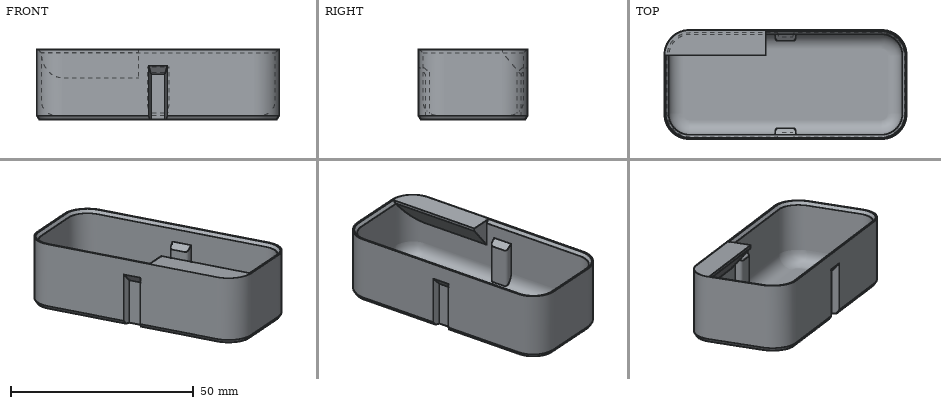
import cadquery as cq
import math

length = 66.5
width = 30.0
height = 19.2
corner_radius = 7.0
wall = 1.2
floor_thickness = 1.2
floor_fillet = 4.0

slope = math.tan(math.radians(50))
base_chamfer_width = 0.7
base_chamfer_height = 1.05
rim_land = 0.4

shelf_length = 27.85
shelf_depth = corner_radius
shelf_edge = 0.8

slot_width = 5.1
slot_back_width = 3.7
slot_depth = 1.85
slot_height = 14.7
rib_width = 6.0
rib_front_width = 5.3
rib_reach = 3.05
rib_wall_height = 14.5
rib_slope = math.tan(math.radians(40))
rib_corner_radius = 0.8

front_y = -width / 2


def rounded_block(inset, bottom, top):
    """Upright block inset evenly from the outer outline."""
    return (
        cq.Workplane("XY", origin=(0, 0, bottom))
        .rect(length - 2 * inset, width - 2 * inset)
        .extrude(top - bottom)
        .edges("|Z")
        .fillet(corner_radius - inset)
    )


def make_outer():
    block = rounded_block(0, 0, height)
    return block.faces("<Z").chamfer(base_chamfer_height, base_chamfer_width)


def make_cavity():
    pocket = rounded_block(wall, floor_thickness, height).faces("<Z").edges().fillet(floor_fillet)
    rim_width = wall - rim_land
    rim_height = rim_width * slope
    rim_draft = math.degrees(math.atan(rim_width / rim_height))
    rim = (
        cq.Workplane("XY", origin=(0, 0, height))
        .sketch()
        .rect(length - 2 * rim_land, width - 2 * rim_land)
        .vertices()
        .fillet(corner_radius - rim_land)
        .finalize()
        .extrude(-rim_height, taper=rim_draft)
    )
    return pocket.union(rim)


def make_shelf(outer):
    """Shelf across the rear left corner, sloping down to the rear wall."""
    rear_y = width / 2
    edge_y = rear_y - shelf_depth
    edge_z = height - shelf_edge
    wedge = (
        cq.Workplane("YZ", origin=(-length / 2, 0, 0))
        .polyline([
            (rear_y, height),
            (edge_y, height),
            (edge_y, edge_z),
            (rear_y, edge_z - shelf_depth * slope),
        ])
        .close()
        .extrude(shelf_length)
    )
    return wedge.intersect(outer)


def under_roof(depth, outer_height, roof_slope):
    """Space along the front wall below a roof that falls toward the inside."""
    return (
        cq.Workplane("YZ", origin=(-length / 2, 0, 0))
        .polyline([
            (front_y, 0),
            (front_y + depth, 0),
            (front_y + depth, outer_height - depth * roof_slope),
            (front_y, outer_height),
        ])
        .close()
        .extrude(length)
    )


def tapered_post(start, end, start_width, end_width):
    """Upright post whose width changes between two distances from the front face."""
    return (
        cq.Workplane("XY")
        .polyline([
            (-start_width / 2, front_y + start),
            (start_width / 2, front_y + start),
            (end_width / 2, front_y + end),
            (-end_width / 2, front_y + end),
        ])
        .close()
        .extrude(height)
    )


def make_rib(outer):
    start = wall / 2
    post = tapered_post(start, rib_reach, rib_width, rib_front_width)
    post = post.edges("|Z and >Y").fillet(rib_corner_radius)
    outer_height = rib_wall_height + wall * rib_slope
    return post.intersect(under_roof(rib_reach, outer_height, rib_slope)).intersect(outer)


def make_slot():
    post = tapered_post(0, slot_depth, slot_width, slot_back_width)
    return post.intersect(under_roof(slot_depth, slot_height, slope))


outer = make_outer()
rib = make_rib(outer)
slot = make_slot()
result = outer.cut(make_cavity()).union(make_shelf(outer))
result = result.union(rib).union(rib.mirror("XZ"))
result = result.cut(slot).cut(slot.mirror("XZ"))